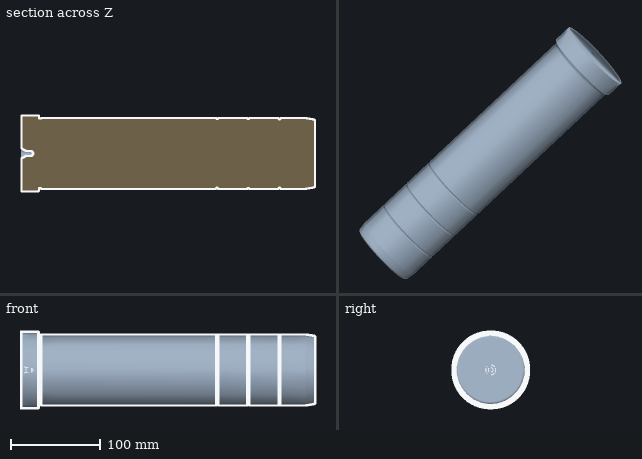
import cadquery as cq

length = 330.0
head_diameter = 86.0
body_diameter = 80.0
head_length = 20.0
head_chamfer = 1.0

relief_width = 2.0
relief_depth = 0.5

first_groove_x = 219.8
groove_pitch = 35.0
groove_count = 3
groove_width = 2.5

taper_length = 10.5
taper_drop = 1.3
nose_radius = 2.5

countersink_diameter = 11.2
pilot_diameter = 5.3
countersink_depth = 5.3
pilot_depth = 12.0
drill_tip_length = 1.5

head_radius = head_diameter / 2
body_radius = body_diameter / 2
nose_end_radius = body_radius - taper_drop


def revolve_about_x(profile):
    """Turn a closed XY profile into a solid about the X axis."""
    return profile.close().revolve(360, (0, 0, 0), (1, 0, 0))


def make_pin():
    """Headed pin with relief groove, lead-in taper and rounded nose."""
    relief_radius = body_radius - relief_depth
    relief_end = head_length + relief_width
    profile = (
        cq.Workplane("XY")
        .moveTo(0, 0)
        .lineTo(0, head_radius)
        .lineTo(head_length - head_chamfer, head_radius)
        .lineTo(head_length, head_radius - head_chamfer)
        .lineTo(head_length, relief_radius)
        .lineTo(relief_end, relief_radius)
        .lineTo(relief_end + relief_depth, body_radius)
        .lineTo(length - taper_length, body_radius)
        .lineTo(length - nose_radius, nose_end_radius)
        .radiusArc((length, nose_end_radius - nose_radius), nose_radius)
        .lineTo(length, 0)
    )
    return revolve_about_x(profile)


def make_groove(center_x):
    """Ring that cuts a right-angled V groove into the body."""
    half_width = groove_width / 2
    profile = (
        cq.Workplane("XY")
        .moveTo(center_x - half_width, body_radius)
        .lineTo(center_x, body_radius - half_width)
        .lineTo(center_x + half_width, body_radius)
    )
    return revolve_about_x(profile)


def make_centre_hole():
    """Countersunk pilot hole with a conical drill tip."""
    pilot_radius = pilot_diameter / 2
    profile = (
        cq.Workplane("XY")
        .moveTo(0, 0)
        .lineTo(0, countersink_diameter / 2)
        .lineTo(countersink_depth, pilot_radius)
        .lineTo(pilot_depth, pilot_radius)
        .lineTo(pilot_depth + drill_tip_length, 0)
    )
    return revolve_about_x(profile)


result = make_pin()
for index in range(groove_count):
    result = result.cut(make_groove(first_groove_x + index * groove_pitch))
result = result.cut(make_centre_hole())